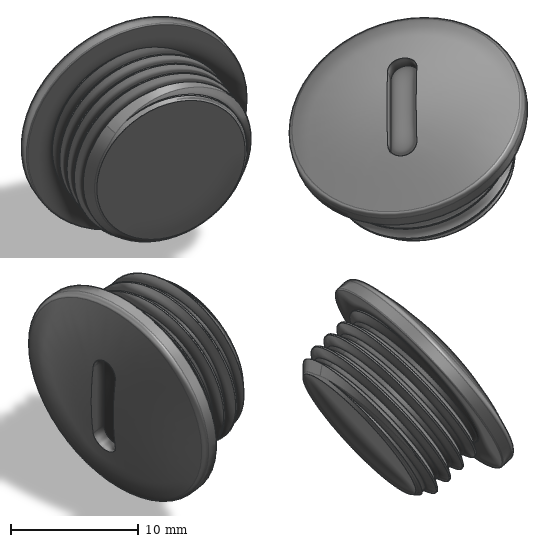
import cadquery as cq
import math

HEAD_RADIUS = 9.5
DOME_EDGE_RADIUS = 9.18
DOME_EDGE_X = 1.55
HEAD_BACK_X = 2.98
HEAD_EDGE_ROUND = 0.45
HEAD_BACK_ROUND = 0.1
END_X = 9.46

SLOT_LENGTH = 9.39
SLOT_WIDTH = 2.35
SLOT_FLOOR_X = 1.5

ROOT_RADIUS = 6.67
CREST_RADIUS = 7.45
END_RADIUS = 6.38
PITCH = 1.4
RIDGE_BASE_WIDTH = 1.0
RIDGE_CREST_WIDTH = 0.15
THREAD_START_X = 2.2
ROOT_OVERLAP = 0.15
SEAM_ANGLE = 135.0
OVERRUN = 0.76

DOME_RADIUS = (DOME_EDGE_RADIUS**2 + DOME_EDGE_X**2) / (2 * DOME_EDGE_X)


def make_head():
    """Domed disc with a rounded front corner and a softened back edge."""
    mid_radius = DOME_EDGE_RADIUS / 2
    mid_x = DOME_RADIUS - math.sqrt(DOME_RADIUS**2 - mid_radius**2)
    corner_drop = HEAD_RADIUS - DOME_EDGE_RADIUS
    corner_radius = (HEAD_EDGE_ROUND**2 + corner_drop**2) / (2 * corner_drop)
    corner_half_angle = math.asin(HEAD_EDGE_ROUND / corner_radius) / 2
    corner_middle = (
        DOME_EDGE_X + HEAD_EDGE_ROUND - corner_radius * math.sin(corner_half_angle),
        HEAD_RADIUS - corner_radius * (1 - math.cos(corner_half_angle)),
    )
    profile = (
        cq.Workplane("XY")
        .moveTo(0, 0)
        .threePointArc((mid_x, mid_radius), (DOME_EDGE_X, DOME_EDGE_RADIUS))
        .threePointArc(corner_middle, (DOME_EDGE_X + HEAD_EDGE_ROUND, HEAD_RADIUS))
        .lineTo(HEAD_BACK_X - HEAD_BACK_ROUND, HEAD_RADIUS)
        .radiusArc((HEAD_BACK_X, HEAD_RADIUS - HEAD_BACK_ROUND), HEAD_BACK_ROUND)
        .lineTo(HEAD_BACK_X, 0)
        .close()
    )
    return profile.revolve(360, (0, 0, 0), (1, 0, 0))


def make_chamfered_shank(radius):
    """Cylinder from inside the head to the end face, with a 45 degree end chamfer."""
    return (
        cq.Workplane("YZ", origin=(THREAD_START_X, 0, 0))
        .circle(radius)
        .extrude(END_X - THREAD_START_X)
        .faces(">X")
        .chamfer(radius - END_RADIUS)
        .rotate((0, 0, 0), (1, 0, 0), SEAM_ANGLE)
    )


def make_ridge():
    """Right-handed helical ridge of trapezoidal section, turned to run along X."""
    helix_length = END_X + OVERRUN - THREAD_START_X
    helix = cq.Wire.makeHelix(PITCH, helix_length, ROOT_RADIUS)
    base_radius = ROOT_RADIUS - ROOT_OVERLAP
    flank_slope = (RIDGE_BASE_WIDTH - RIDGE_CREST_WIDTH) / 2 / (CREST_RADIUS - ROOT_RADIUS)
    base_half = RIDGE_BASE_WIDTH / 2 + ROOT_OVERLAP * flank_slope
    crest_half = RIDGE_CREST_WIDTH / 2
    section = cq.Workplane("XZ").polyline([
        (base_radius, -base_half),
        (CREST_RADIUS, -crest_half),
        (CREST_RADIUS, crest_half),
        (base_radius, base_half),
    ]).close()
    ridge = section.sweep(cq.Workplane(obj=helix), isFrenet=True)
    return ridge.rotate((0, 0, 0), (0, 1, 0), 90).translate((THREAD_START_X, 0, 0))


def make_slot():
    """Round-ended screwdriver slot with a flat floor, long along Z."""
    return (
        cq.Workplane("YZ")
        .slot2D(SLOT_LENGTH, SLOT_WIDTH, 90)
        .extrude(SLOT_FLOOR_X)
    )


head = make_head()
core = make_chamfered_shank(ROOT_RADIUS)
ridge_envelope = make_chamfered_shank(CREST_RADIUS + ROOT_OVERLAP)
trimmed_ridge = make_ridge().intersect(ridge_envelope)
shank = core.union(trimmed_ridge)
result = head.union(shank).cut(make_slot())